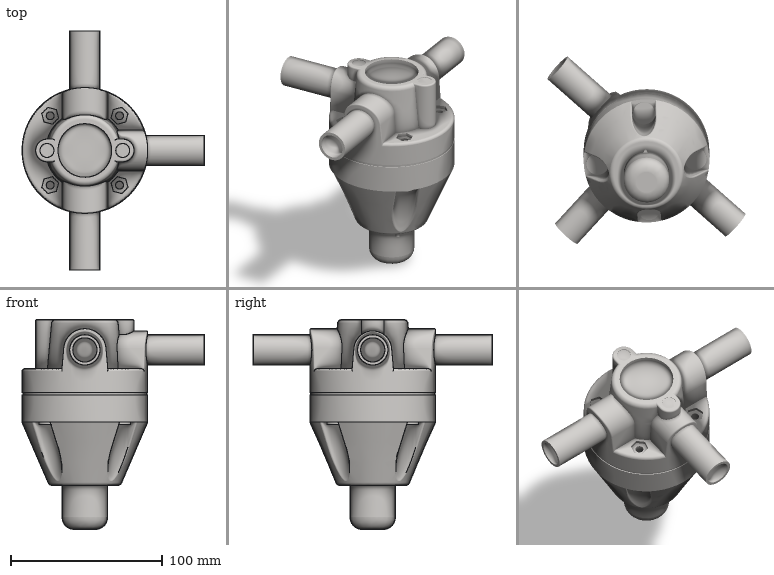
import cadquery as cq
import math


draft_angle = math.radians(5)
draft = math.tan(draft_angle)
flange_radius = 41.5

turret_top = 20.0
deck_top = -12.4
cover_bottom = -28.0
body_top = -29.7
cone_top = -47.7
cone_bottom = -89.5
cup_bottom = -118.5

deck_edge_radius = 2.0
joint_setback = 0.5
joint_radius = flange_radius - joint_setback

turret_top_radius = 23.0
turret_rim_fillet = 2.8
recess_radius = 17.7
recess_depth = 5.0
recess_floor_fillet = 2.0
ear_offset = 25.0
ear_radius = 7.5
ear_edge_fillet = 1.0
ear_dimple_radius = 4.6
ear_dimple_depth = 0.4

pipe_radius = 10.0
pipe_bore_radius = 8.0
pipe_end = 79.0
pipe_bore_start = 40.0
side_boss_radius = 14.0
single_boss_radius = 12.5
boss_end_fillet = 0.8

screw_offset = 22.9
screw_circle_radius = screw_offset * math.sqrt(2)
screw_angles = [45, 135, 225, 315]
nut_pocket_width = 10.0
nut_pocket_depth = 2.2
screw_hole_radius = 2.6
screw_hole_depth = 10.0
screw_pad_radius = 7.3
screw_pad_height = 1.5

cone_bottom_radius = 23.5
cone_bottom_fillet = 3.0
flute_radius = 7.7
flute_edge_fillet = 0.8
cup_radius = 15.0
cup_fillet = 8.0
pin_radius = 1.4
pin_bottom = -95.0
pin_angle = 135


def cylinder(radius, bottom, top):
    """Upright cylinder on the Z axis, its seam line on the -X side where no pipe crosses it."""
    shape = cq.Workplane("XY").workplane(offset=bottom).circle(radius).extrude(top - bottom)
    return shape.rotate((0, 0, 0), (0, 0, 1), 180)


def place_on_diagonal(shape, angle):
    """Move a shape from the Z axis out to the screw circle, turning its +X outwards."""
    return shape.translate((screw_circle_radius, 0, 0)).rotate((0, 0, 0), (0, 0, 1), angle)


def make_cover():
    disc = cylinder(flange_radius, cover_bottom, deck_top)
    disc = disc.faces(">Z").edges().fillet(deck_edge_radius)
    return disc.union(cylinder(joint_radius, body_top, cover_bottom))


def make_turret():
    height = turret_top - deck_top
    base_radius = turret_top_radius + height * draft
    turret = (
        cq.Workplane("XZ")
        .moveTo(0, deck_top)
        .lineTo(base_radius, deck_top)
        .lineTo(turret_top_radius, turret_top)
        .lineTo(0, turret_top)
        .close()
        .revolve(360, (0, 0, 0), (0, 1, 0))
        .faces(">Z").edges().fillet(turret_rim_fillet)
    )
    ears = (
        cq.Workplane("XY").workplane(offset=deck_top)
        .slot2D(2 * (ear_offset + ear_radius), 2 * ear_radius)
        .extrude(height)
        .faces(">Z").edges().fillet(ear_edge_fillet)
    )
    return turret.union(ears)


def make_boss(radius, angle):
    """Round-topped boss with drafted sides, running from the body axis out to the flange rim."""
    bottom = deck_top - 2 * deck_edge_radius
    tangent_y = radius * math.cos(draft_angle)
    tangent_z = radius * math.sin(draft_angle)
    bottom_y = tangent_y + (tangent_z - bottom) * draft
    boss = (
        cq.Workplane("YZ")
        .moveTo(-bottom_y, bottom)
        .lineTo(-tangent_y, tangent_z)
        .threePointArc((0, radius), (tangent_y, tangent_z))
        .lineTo(bottom_y, bottom)
        .close()
        .extrude(2 * flange_radius)
    )
    boss = boss.intersect(cylinder(flange_radius, bottom, turret_top))
    end_edges = boss.faces(">X").edges("not #Z").edges("not <Z")
    boss = end_edges.fillet(boss_end_fillet)
    return boss.rotate((0, 0, 0), (0, 0, 1), angle)


def make_pipe(angle):
    pipe = cq.Workplane("YZ").circle(pipe_radius).extrude(pipe_end)
    bore = cq.Workplane("YZ").workplane(offset=pipe_bore_start).circle(pipe_bore_radius)
    pipe = pipe.cut(bore.extrude(pipe_end - pipe_bore_start))
    return pipe.rotate((0, 0, 0), (0, 0, 1), angle)


def make_recess():
    recess = cylinder(recess_radius, turret_top - recess_depth, turret_top)
    return recess.faces("<Z").edges().fillet(recess_floor_fillet)


def make_nut_pocket(angle):
    """Hexagonal nut pocket with a flat side facing outwards, and the blind screw hole below it."""
    pocket_bottom = deck_top - nut_pocket_depth
    half_side_angle = 30
    corner_diameter = nut_pocket_width / math.cos(math.radians(half_side_angle))
    pocket = (
        cq.Workplane("XY").workplane(offset=pocket_bottom)
        .polygon(6, corner_diameter)
        .extrude(nut_pocket_depth)
        .rotate((0, 0, 0), (0, 0, 1), half_side_angle)
    )
    hole = cylinder(screw_hole_radius, pocket_bottom - screw_hole_depth, pocket_bottom)
    return place_on_diagonal(pocket.union(hole), angle)


def make_flute(angle):
    """Upright round-backed channel, open outwards, below the cylindrical part of the body."""
    channel = cylinder(flute_radius, cone_bottom, cone_top)
    length = flange_radius
    mouth = (
        cq.Workplane("XY").workplane(offset=cone_bottom)
        .rect(length, 2 * flute_radius)
        .extrude(cone_top - cone_bottom)
        .translate((length / 2, 0, 0))
    )
    return place_on_diagonal(channel.union(mouth), angle)


def make_screw_pad(angle):
    return place_on_diagonal(cylinder(screw_pad_radius, cone_top - screw_pad_height, cone_top), angle)


def make_body():
    cone = (
        cq.Workplane("XZ")
        .moveTo(0, cone_bottom)
        .lineTo(cone_bottom_radius, cone_bottom)
        .lineTo(flange_radius, cone_top)
        .lineTo(0, cone_top)
        .close()
        .revolve(360, (0, 0, 0), (0, 1, 0))
        .faces("<Z").edges().fillet(cone_bottom_fillet)
    )
    for angle in screw_angles:
        cone = cone.cut(make_flute(angle))
    cone = cone.edges("%HYPERBOLA or %BSPLINE").fillet(flute_edge_fillet)
    body = cone.union(cylinder(flange_radius, cone_top, body_top))
    for angle in screw_angles:
        body = body.union(make_screw_pad(angle))
    return body


def make_cup():
    cup = cylinder(cup_radius, cup_bottom, cone_bottom)
    return cup.faces("<Z").edges().fillet(cup_fillet)


def make_pin():
    pin = cylinder(pin_radius, pin_bottom, cone_bottom)
    return pin.translate((cup_radius, 0, 0)).rotate((0, 0, 0), (0, 0, 1), pin_angle)


result = make_cover().union(make_turret())
for boss_radius, direction in [(single_boss_radius, 0), (side_boss_radius, 90), (side_boss_radius, 270)]:
    result = result.union(make_boss(boss_radius, direction))
    result = result.union(make_pipe(direction))
result = result.cut(make_recess())
for side in (-1, 1):
    dimple = cylinder(ear_dimple_radius, turret_top - ear_dimple_depth, turret_top)
    result = result.cut(dimple.translate((side * ear_offset, 0, 0)))
for screw_angle in screw_angles:
    result = result.cut(make_nut_pocket(screw_angle))
result = result.union(make_body()).union(make_cup()).union(make_pin())